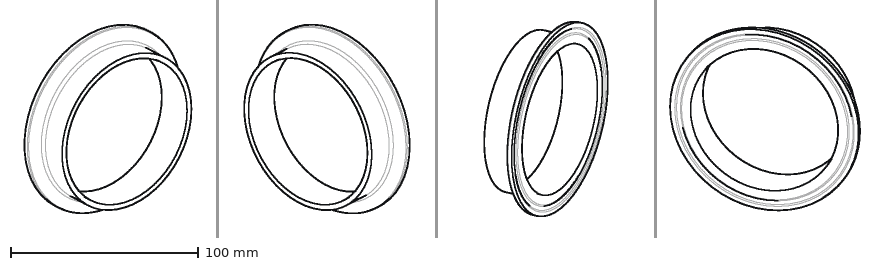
import cadquery as cq
import math

length = 21.5
flange_radius = 53.0
tube_radius = 44.5
bore_radius = 41.4

rim_width = 2.8
cone_angle = 20.0
rim_round = 0.6
neck_round = 2.0

groove_radius = 48.5
groove_half_width = 1.9
groove_floor_round = 1.2
wall_angle = 70.0


def revolve_about_x(outline):
    return outline.close().revolve(360, (0, 0, 0), (1, 0, 0))


def round_circle(body, x, radius, round_radius):
    """Round the circular edge at the given X and radius."""
    margin = 0.05
    selector = cq.selectors.BoxSelector(
        (x - margin, -radius - margin, -radius - margin),
        (x + margin, radius + margin, radius + margin),
        boundingbox=True,
    )
    return body.edges(selector).fillet(round_radius)


def make_ferrule():
    cone_drop = flange_radius - tube_radius
    neck_x = rim_width + cone_drop * math.tan(math.radians(cone_angle))
    body = revolve_about_x(
        cq.Workplane("XY")
        .moveTo(0, bore_radius)
        .lineTo(0, flange_radius)
        .lineTo(rim_width, flange_radius)
        .lineTo(neck_x, tube_radius)
        .lineTo(length, tube_radius)
        .lineTo(length, bore_radius)
    )
    body = round_circle(body, neck_x, tube_radius, neck_round)
    return round_circle(body, rim_width, flange_radius, rim_round)


def make_groove():
    """Ring with a round floor that flows into convex rounds at both edges."""
    angle = math.radians(wall_angle)
    half_angle = angle / 2
    edge_round = groove_half_width / math.sin(angle) - groove_floor_round
    depth = (groove_floor_round + edge_round) * (1 - math.cos(angle))
    join_x = edge_round * (1 - math.cos(angle))
    join_offset = groove_floor_round * math.sin(angle)
    edge_mid_x = edge_round * (1 - math.cos(half_angle))
    edge_mid_offset = groove_half_width - edge_round * math.sin(half_angle)
    return revolve_about_x(
        cq.Workplane("XY")
        .moveTo(0, groove_radius - groove_half_width)
        .threePointArc((edge_mid_x, groove_radius - edge_mid_offset), (join_x, groove_radius - join_offset))
        .threePointArc((depth, groove_radius), (join_x, groove_radius + join_offset))
        .threePointArc((edge_mid_x, groove_radius + edge_mid_offset), (0, groove_radius + groove_half_width))
    )


result = make_ferrule().cut(make_groove())